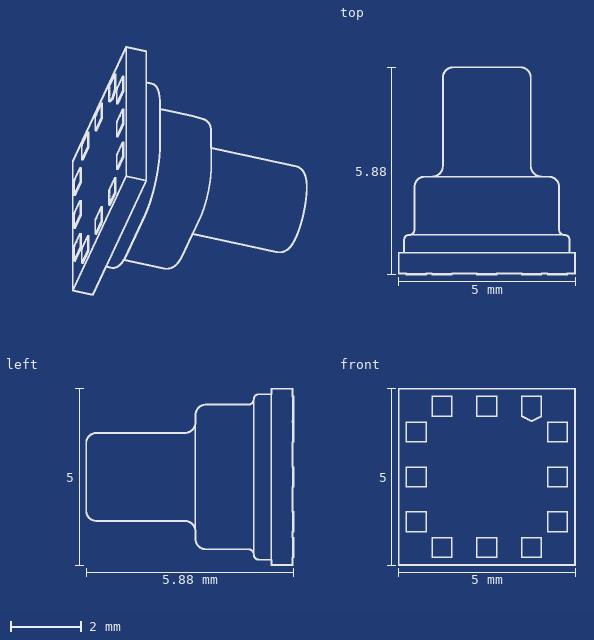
import cadquery as cq

PLATE_SIDE = 5.0
PLATE_THICKNESS = 0.6

PAD_SIDE = 0.56
PAD_HEIGHT = 0.03
PAD_PITCH = 1.27
PAD_ROW_OFFSET = 2.0
MARK_TIP = 0.14

STRAIGHT_HALF = 0.795
BODY_CORNER_RADIUS = 1.26
FLANGE_STEP = 0.295
FLANGE_CORNER_RADIUS = BODY_CORNER_RADIUS + FLANGE_STEP
FLANGE_HEIGHT = 0.5
BODY_HEIGHT = 1.65
KEY_EDGE_RADIUS = 0.5
STEP_LEDGE = 0.003
STEP_FILLET = (FLANGE_STEP - STEP_LEDGE) / 2

PORT_DIAMETER = 2.5
RIM_FILLET = 0.3

PLATE_FRONT = PAD_HEIGHT
PLATE_BACK = PLATE_FRONT + PLATE_THICKNESS
FLANGE_TOP = PLATE_BACK + FLANGE_HEIGHT
BODY_TOP = FLANGE_TOP + BODY_HEIGHT
PORT_END = 5.88

SELECT_MARGIN = 0.003


def plane_at(y):
    """Sketch plane at level y: local x is +X, local y is +Z and the normal is -Y."""
    return cq.Workplane(cq.Plane(origin=(0, y, 0), xDir=(1, 0, 0), normal=(0, -1, 0)))


def prism(sketch, height):
    """Extrude a sketch from plane_at toward +Y."""
    return sketch.extrude(-height)


def square_block(y, corner_radius, height):
    side = 2 * (STRAIGHT_HALF + corner_radius)
    return prism(plane_at(y).rect(side, side), height)


def rim_fillet(block, radius):
    return block.faces(">Y").edges().fillet(radius)


def root_fillet(solid, level, reach, radius):
    """Fill the inner corner at one level, on the edges within reach of the part's axis."""
    outer = reach + SELECT_MARGIN
    root = cq.selectors.BoxSelector(
        (-outer, level - SELECT_MARGIN, -outer),
        (outer, level + SELECT_MARGIN, outer),
        boundingbox=True,
    )
    return solid.edges(root).fillet(radius)


def make_flange():
    block = square_block(PLATE_BACK, FLANGE_CORNER_RADIUS, FLANGE_HEIGHT)
    block = block.edges("|Y").fillet(FLANGE_CORNER_RADIUS)
    return rim_fillet(block, STEP_FILLET)


def make_body():
    """Rounded square whose +X +Z corner is a softened 45 degree bevel instead of an arc."""
    block = square_block(FLANGE_TOP, BODY_CORNER_RADIUS, BODY_HEIGHT)
    block = block.edges("|Y and (not >(1, 0, 1))").fillet(BODY_CORNER_RADIUS)
    block = block.edges("|Y and >(1, 0, 1)").chamfer(BODY_CORNER_RADIUS)
    block = block.faces(">(1, 0, 1)").edges("|Y").fillet(KEY_EDGE_RADIUS)
    return rim_fillet(block, RIM_FILLET)


def make_port():
    port = prism(plane_at(BODY_TOP).circle(PORT_DIAMETER / 2), PORT_END - BODY_TOP)
    return rim_fillet(port, RIM_FILLET)


def make_housing():
    body_reach = STRAIGHT_HALF + BODY_CORNER_RADIUS
    housing = make_flange().union(make_body())
    housing = root_fillet(housing, FLANGE_TOP, body_reach, STEP_FILLET)
    housing = housing.union(make_port())
    return root_fillet(housing, BODY_TOP, PORT_DIAMETER / 2, RIM_FILLET)


def make_pads():
    along = (-PAD_PITCH, 0, PAD_PITCH)
    rows = (-PAD_ROW_OFFSET, PAD_ROW_OFFSET)
    centres = [(x, z) for x in along for z in rows]
    centres += [(x, z) for x in rows for z in along]
    squares = prism(plane_at(0).pushPoints(centres).rect(PAD_SIDE, PAD_SIDE), PAD_HEIGHT)

    inner_edge = PAD_ROW_OFFSET - PAD_SIDE / 2
    point = plane_at(0).polyline([
        (PAD_PITCH - PAD_SIDE / 2, inner_edge),
        (PAD_PITCH + PAD_SIDE / 2, inner_edge),
        (PAD_PITCH, inner_edge - MARK_TIP),
    ]).close()
    return squares.union(prism(point, PAD_HEIGHT))


plate = prism(plane_at(PLATE_FRONT).rect(PLATE_SIDE, PLATE_SIDE), PLATE_THICKNESS)
result = plate.union(make_housing()).union(make_pads())